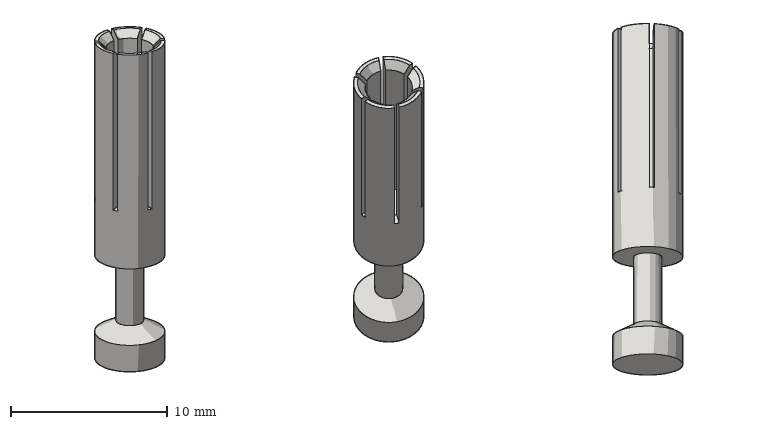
import cadquery as cq
import math

full_turn = 360.0

total_length = 22.2
body_diameter = 4.5
body_radius = body_diameter / 2
neck_diameter = 1.8
neck_radius = neck_diameter / 2

foot_height = 1.86
shoulder_top = 2.65

sleeve_bottom = 7.22
bore_radius = 1.5
mouth_radius = 2.0
mouth_depth = mouth_radius - bore_radius
bore_bottom = 10.43
bore_tip_angle = 118.0
bore_tip_depth = bore_radius / math.tan(math.radians(bore_tip_angle / 2))

slot_count = 6
slot_width = 0.3
slot_bottom = 11.2


def revolve_profile(points):
    """Spin a closed (radius, height) outline about the Z axis."""
    return cq.Workplane("XZ").polyline(points).close().revolve(full_turn, (0, 0, 0), (0, 1, 0))


def make_pin():
    return revolve_profile([
        (0, 0),
        (body_radius, 0),
        (body_radius, foot_height),
        (neck_radius, shoulder_top),
        (neck_radius, sleeve_bottom),
        (body_radius, sleeve_bottom),
        (body_radius, total_length),
        (0, total_length),
    ])


def make_bore():
    return revolve_profile([
        (0, bore_bottom - bore_tip_depth),
        (bore_radius, bore_bottom),
        (bore_radius, total_length - mouth_depth),
        (mouth_radius, total_length),
        (0, total_length),
    ])


def make_slot(angle):
    """One radial slot from the axis out through the sleeve wall."""
    slot = cq.Workplane("XY").box(
        body_diameter, slot_width, total_length - slot_bottom, centered=(False, True, False)
    )
    return slot.translate((0, 0, slot_bottom)).rotate((0, 0, 0), (0, 0, 1), angle)


result = make_pin().cut(make_bore())
for index in range(slot_count):
    result = result.cut(make_slot(index * full_turn / slot_count))